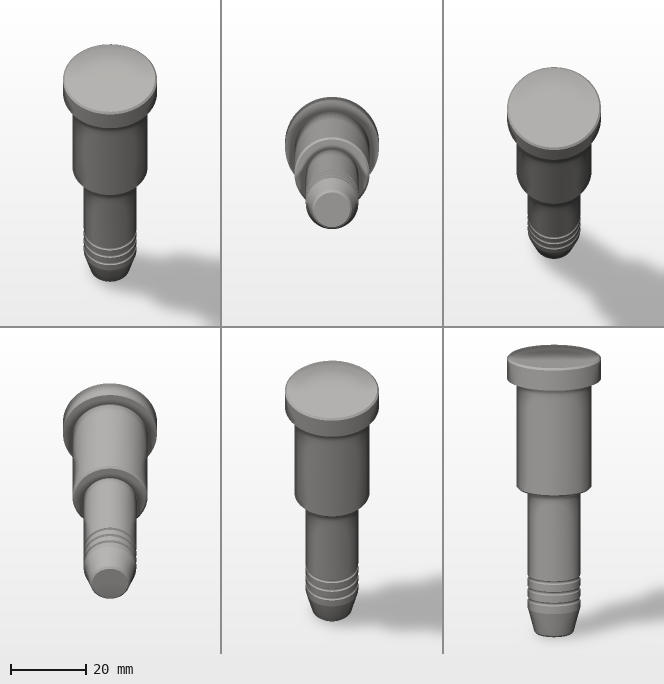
import cadquery as cq
import math

total_length = 76.0
edge_chamfer = 0.5

head_radius = 25.0 / 2
head_height = 6.0

body_radius = 20.0 / 2
body_length = 30.0
relief_depth = 0.4
relief_height = 0.5

shank_radius = 14.0 / 2
neck_radius = 13.0 / 2
neck_height = 1.0

groove_count = 3
groove_radius = 0.5
groove_pitch = 3.0
first_groove_height = 15.5

taper_height = 7.0
taper_angle = 15.0
tip_chamfer = 0.5

head_bottom = total_length - head_height
body_bottom = head_bottom - body_length
neck_bottom = body_bottom - neck_height
tip_radius = shank_radius - (taper_height - tip_chamfer) * math.tan(math.radians(taper_angle))


def cylinder(radius, bottom, top):
    return cq.Workplane("XY").workplane(offset=bottom).circle(radius).extrude(top - bottom)


def revolve_profile(points):
    """Revolve a closed (radius, height) outline about the Z axis."""
    return cq.Workplane("XZ").polyline(points).close().revolve(360, (0, 0, 0), (0, 1, 0))


def make_head():
    return cylinder(head_radius, head_bottom, total_length).faces(">Z").chamfer(edge_chamfer)


def make_body():
    """Guide body with a relief under the head that opens conically to full size."""
    relief_radius = body_radius - relief_depth
    relief_bottom = head_bottom - relief_height
    return revolve_profile([
        (0, head_bottom),
        (relief_radius, head_bottom),
        (relief_radius, relief_bottom),
        (body_radius, relief_bottom - edge_chamfer),
        (body_radius, body_bottom + edge_chamfer),
        (body_radius - edge_chamfer, body_bottom),
        (0, body_bottom),
    ])


def make_shank():
    """Straight shank with a tapered, chamfered tip."""
    return revolve_profile([
        (0, neck_bottom),
        (shank_radius, neck_bottom),
        (shank_radius, taper_height),
        (tip_radius, tip_chamfer),
        (tip_radius - tip_chamfer, 0),
        (0, 0),
    ])


def make_groove(centre_height):
    """Ring cutter with a round section centred on the shank surface."""
    return cq.Workplane("XY").add(
        cq.Solid.makeTorus(shank_radius, groove_radius, cq.Vector(0, 0, centre_height))
    )


neck = cylinder(neck_radius, neck_bottom, body_bottom)
result = make_head().union(make_body()).union(neck).union(make_shank())
for index in range(groove_count):
    result = result.cut(make_groove(first_groove_height - index * groove_pitch))